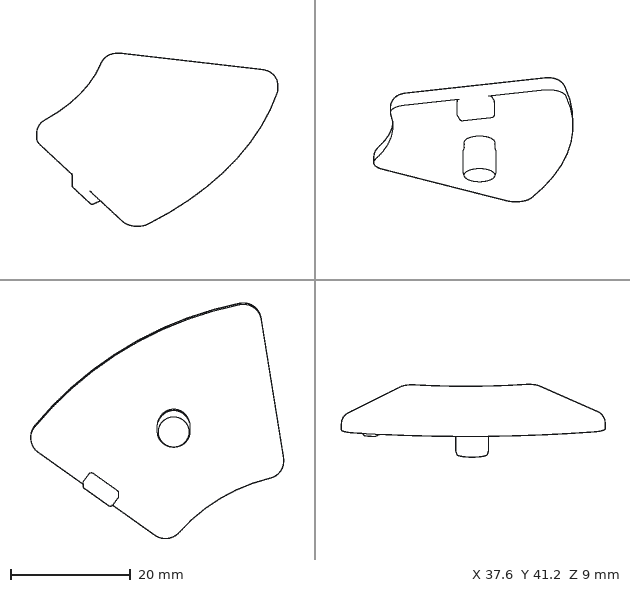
import cadquery as cq
import math

SECTOR_ANGLE = 45
OUTER_RADIUS = 59.3
INNER_RADIUS = 29.28
EDGE_OFFSET = 0.3
ARC_CENTER = (-21.65, EDGE_OFFSET)
PLATE_THICKNESS = 3.0
CORNER_RADIUS = 3.0
TOP_FILLET = 2.0

PIN_CENTER = (19.12, 17.2)
NECK_RADIUS = 5.15 / 2
PIN_RADIUS = 5.5 / 2
PIN_LENGTH = 6.0
NECK_LENGTH = 1.05
TAPER_LENGTH = 0.6

TAB_LEFT = 19.55
TAB_WIDTH = 6.0
TAB_DEPTH = 2.5
TAB_HEIGHT = 3.0
TAB_FILLET = 0.5


def sector_point(radius, angle):
    """Point on an arc of the sector, angle in radians from +X."""
    return (
        ARC_CENTER[0] + radius * math.cos(angle),
        ARC_CENTER[1] + radius * math.sin(angle),
    )


def make_plate():
    sector = math.radians(SECTOR_ANGLE)
    middle = sector / 2
    outer_extra = math.asin(EDGE_OFFSET / OUTER_RADIUS)
    inner_extra = math.asin(EDGE_OFFSET / INNER_RADIUS)
    plate = (
        cq.Workplane("XY")
        .moveTo(*sector_point(INNER_RADIUS, -inner_extra))
        .lineTo(*sector_point(OUTER_RADIUS, -outer_extra))
        .threePointArc(
            sector_point(OUTER_RADIUS, middle),
            sector_point(OUTER_RADIUS, sector + outer_extra),
        )
        .lineTo(*sector_point(INNER_RADIUS, sector + inner_extra))
        .threePointArc(
            sector_point(INNER_RADIUS, middle),
            sector_point(INNER_RADIUS, -inner_extra),
        )
        .close()
        .extrude(PLATE_THICKNESS)
    )
    return plate.edges("|Z").fillet(CORNER_RADIUS).faces(">Z").edges().fillet(TOP_FILLET)


def make_pin():
    profile = [
        (0, 0),
        (NECK_RADIUS, 0),
        (NECK_RADIUS, -NECK_LENGTH),
        (PIN_RADIUS, -NECK_LENGTH - TAPER_LENGTH),
        (PIN_RADIUS, -PIN_LENGTH + TAPER_LENGTH),
        (NECK_RADIUS, -PIN_LENGTH),
        (0, -PIN_LENGTH),
    ]
    pin = cq.Workplane("XZ").polyline(profile).close().revolve(360, (0, 0), (0, 1))
    return pin.translate((*PIN_CENTER, 0))


def make_tab():
    tab = cq.Workplane("XY").box(TAB_WIDTH, TAB_DEPTH, TAB_HEIGHT, centered=False)
    tab = tab.edges("|Z or <Z").fillet(TAB_FILLET)
    return tab.translate((TAB_LEFT, 0, -TAB_HEIGHT))


result = make_plate().union(make_pin()).union(make_tab())